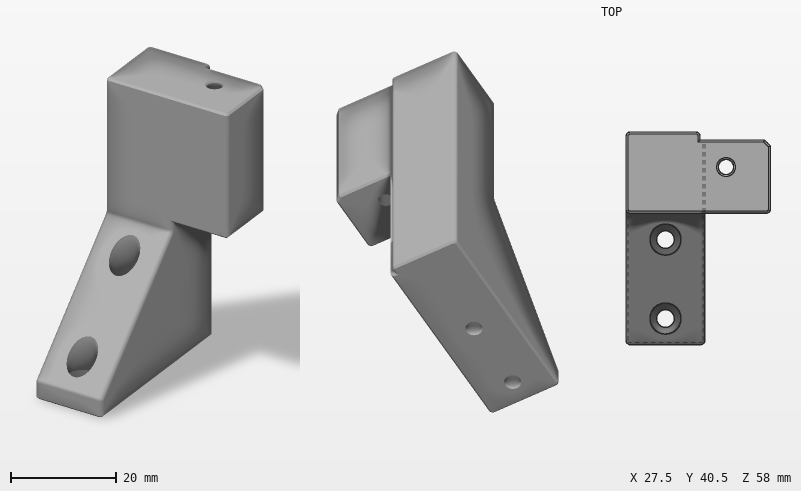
import cadquery as cq

arm_width = 27.5
foot_length = 40.5
height = 58.0

column_width = 15.0
column_depth = 15.5
toe_height = 4.0
slope_run = foot_length - column_depth
slope_top = toe_height + slope_run

arm_bottom = 31.0
step_x = 14.1
step_depth = 1.5

edge_radius = 0.8
rim_chamfer = 0.4
arm_corner_chamfer = 1.15

screw_x = column_width / 2
screw_y = 5.0
screw_pitch = 15.0
screw_diameter = 3.3
head_diameter = 6.0
seat_diameter = 5.8
seat_top = 4.5

arm_hole_x = 19.0
arm_hole_y = 33.8
arm_hole_diameter = 2.85
arm_hole_mouth = 3.6


def side_profile(width):
    """Column with a 45 degree foot, extruded from the left face."""
    points = [
        (0, 0),
        (foot_length, 0),
        (foot_length, height),
        (slope_run, height),
        (slope_run, slope_top),
        (0, toe_height),
    ]
    return cq.Workplane("YZ").polyline(points).close().extrude(width)


def block(x_size, y_size, z_size, corner):
    return cq.Workplane("XY").box(x_size, y_size, z_size, centered=False).translate(corner)


def edges_near(body, points):
    """Collect the edges whose midpoints lie nearest to the given points."""
    picked = [body.edges(cq.selectors.NearestToPointSelector(point)).val() for point in points]
    return body.newObject(picked)


def make_column():
    """Column and foot with rounded edges and the step along the back right."""
    step_y = foot_length - step_depth
    step = block(column_width, step_depth, height, (step_x, step_y, 0))
    column = side_profile(column_width).cut(step)

    bends = [
        (column_width / 2, slope_run, slope_top),
        (column_width / 2, 0, toe_height),
    ]
    column = edges_near(column, bends).fillet(edge_radius)

    sides = []
    for x in (0, column_width):
        sides.append((x, slope_run, (slope_top + height) / 2))
        sides.append((x, slope_run / 2, (toe_height + slope_top) / 2))
        sides.append((x, 0, toe_height / 2))
    column = edges_near(column, sides).fillet(edge_radius)

    back = [(x, foot_length, height / 2) for x in (0, step_x)]
    return edges_near(column, back).fillet(edge_radius)


def make_arm():
    """Arm reaching right from inside the column, with treated corners and underside."""
    root_x = column_width / 2
    arm_depth = column_depth - step_depth
    arm_height = height - arm_bottom
    arm = block(arm_width - root_x, arm_depth, arm_height, (root_x, slope_run, arm_bottom))
    arm = arm.edges("|Z").edges("<Y").edges(">X").fillet(edge_radius)
    arm = arm.edges("|Z").edges(">Y").edges(">X").chamfer(arm_corner_chamfer)
    return arm.faces("<Z").chamfer(rim_chamfer)


def countersunk_hole(x, y, mouth_z, mouth_diameter, diameter):
    """Through hole with a 90 degree cone whose wide end is at mouth_z."""
    drill = cq.Workplane("XY").center(x, y).circle(diameter / 2).extrude(height)
    depth = (mouth_diameter - diameter) / 2
    mouth = cq.Vector(x, y, mouth_z)
    down = cq.Vector(0, 0, -1)
    cone = cq.Solid.makeCone(mouth_diameter / 2, diameter / 2, depth, mouth, down)
    return drill.union(cq.Workplane(cone))


def screw_hole(y):
    """Countersunk screw hole with head clearance up to the slope."""
    seat_plane = cq.Workplane("XY", origin=(screw_x, y, seat_top))
    clearance = seat_plane.circle(head_diameter / 2).extrude(height)
    return countersunk_hole(screw_x, y, seat_top, seat_diameter, screw_diameter).union(clearance)


body = make_column().union(make_arm()).clean()
body = body.faces(">Z or <Z").chamfer(rim_chamfer)
for index in range(2):
    body = body.cut(screw_hole(screw_y + index * screw_pitch))
result = body.cut(countersunk_hole(arm_hole_x, arm_hole_y, height, arm_hole_mouth, arm_hole_diameter))